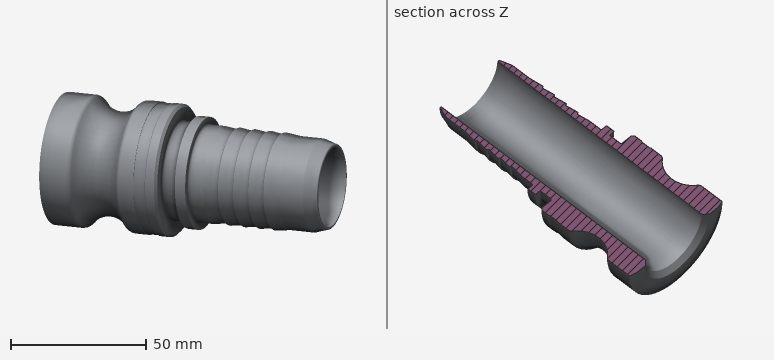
import cadquery as cq
import math

length = 107.0
bore_radius = 30.0 / 2
mouth_radius = 34.0 / 2
mouth_depth = mouth_radius - bore_radius

head_radius = 49.5 / 2
face_radius = 42.9 / 2
face_bevel_length = 0.7
cam_center = 21.9
cam_floor_radius = 19.53
cam_arc_radius = 11.1
cam_edge_radius = 2.1
relief_radius = 49.0 / 2
relief_start = 37.8
relief_end = 42.2
head_end = 46.9
head_chamfer = 1.0

neck_radius = 37.0 / 2
ring_radius = 42.0 / 2
ring_start = 52.8
ring_end = 56.8
root_fillet = 0.5

shank_radius = 36.5 / 2
barb_root_radius = 35.0 / 2
barb_start = 62.9
barb_pitch = 5.96
full_barbs = 4
last_barb_length = 6.1
riser_height = shank_radius - barb_root_radius
riser_arc = riser_height / 2
tip_start = 101.9
tip_end_radius = 16.0
tip_round = 0.5

quarter_sin = math.sin(math.pi / 4)
quarter_rest = 1 - quarter_sin


def add_cam_groove(profile):
    """Circular groove joined to the head by tangent rounded edges."""
    arc_center_radius = cam_floor_radius + cam_arc_radius
    edge_center_radius = head_radius - cam_edge_radius
    center_distance = cam_arc_radius + cam_edge_radius
    rise = arc_center_radius - edge_center_radius
    half_width = math.sqrt(center_distance**2 - rise**2)
    share = cam_arc_radius / center_distance
    tangent_offset = half_width * share
    tangent_radius = arc_center_radius - rise * share
    half_angle = math.atan2(half_width, rise) / 2
    mid_offset = half_width - cam_edge_radius * math.sin(half_angle)
    mid_radius = edge_center_radius + cam_edge_radius * math.cos(half_angle)
    return (
        profile.lineTo(cam_center - half_width, head_radius)
        .threePointArc((cam_center - mid_offset, mid_radius), (cam_center - tangent_offset, tangent_radius))
        .threePointArc((cam_center, cam_floor_radius), (cam_center + tangent_offset, tangent_radius))
        .threePointArc((cam_center + mid_offset, mid_radius), (cam_center + half_width, head_radius))
    )


def add_falling_fillet(profile, wall_x, floor_radius):
    """Concave fillet from a wall down onto the cylinder to its right."""
    inset = root_fillet * quarter_rest
    return profile.lineTo(wall_x, floor_radius + root_fillet).threePointArc(
        (wall_x + inset, floor_radius + inset), (wall_x + root_fillet, floor_radius)
    )


def add_rising_fillet(profile, wall_x, floor_radius):
    """Concave fillet from a cylinder up onto the wall at its right."""
    inset = root_fillet * quarter_rest
    return profile.lineTo(wall_x - root_fillet, floor_radius).threePointArc(
        (wall_x - inset, floor_radius + inset), (wall_x, floor_radius + root_fillet)
    )


def add_barb(profile, crest_x):
    """Taper from the previous crest, then an S-shaped riser to this crest."""
    root_x = crest_x - riser_height
    middle_x = crest_x - riser_arc
    middle_radius = barb_root_radius + riser_arc
    along = riser_arc * quarter_sin
    across = riser_arc * quarter_rest
    return (
        profile.lineTo(root_x, barb_root_radius)
        .threePointArc((root_x + along, barb_root_radius + across), (middle_x, middle_radius))
        .threePointArc((middle_x + across, middle_radius + along), (crest_x, shank_radius))
    )


profile = (
    cq.Workplane("XY")
    .moveTo(0, mouth_radius)
    .lineTo(0, face_radius)
    .lineTo(face_bevel_length, head_radius)
)
profile = add_cam_groove(profile)

profile = (
    profile.lineTo(relief_start, head_radius)
    .lineTo(relief_start, relief_radius)
    .lineTo(relief_end, relief_radius)
    .lineTo(relief_end + head_radius - relief_radius, head_radius)
    .lineTo(head_end - head_chamfer, head_radius)
    .lineTo(head_end, head_radius - head_chamfer)
)

profile = add_falling_fillet(profile, head_end, neck_radius)
profile = add_rising_fillet(profile, ring_start, neck_radius)
profile = profile.lineTo(ring_start, ring_radius).lineTo(ring_end, ring_radius)
profile = add_falling_fillet(profile, ring_end, shank_radius)

profile = profile.lineTo(barb_start, shank_radius)
for barb in range(1, full_barbs + 1):
    profile = add_barb(profile, barb_start + barb * barb_pitch)
last_barb_end = barb_start + full_barbs * barb_pitch + last_barb_length

profile = (
    profile.lineTo(last_barb_end, barb_root_radius)
    .lineTo(tip_start, barb_root_radius)
    .lineTo(length - tip_round, tip_end_radius)
    .threePointArc(
        (length - tip_round * quarter_rest, tip_end_radius - tip_round * quarter_rest),
        (length, tip_end_radius - tip_round),
    )
    .lineTo(length, bore_radius)
    .lineTo(mouth_depth, bore_radius)
    .close()
)

result = profile.revolve(360, (0, 0, 0), (1, 0, 0))